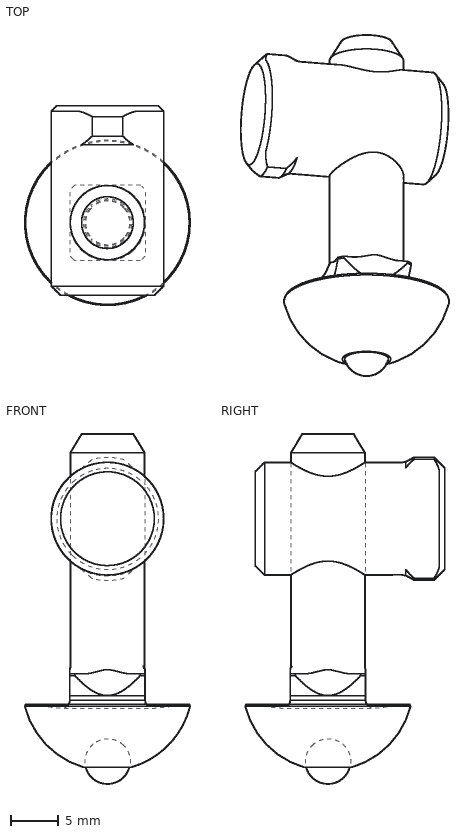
import cadquery as cq
import math

barrel_radius = 5.95
barrel_length = 20.0
barrel_back_y = 12.33
barrel_axis_z = 28.0
front_chamfer = 1.0
back_chamfer = 0.6

lug_radius = 6.5
lug_base_half_width = 3.0
lug_top_half_width = 1.62
lug_flat_end = 3.2
lug_ramp_end = 4.1
lug_length = 4.55
lug_lip = 0.07

bolt_top_z = 36.92
bolt_radius = 3.9
tip_radius = 2.75
tip_height = 1.95
collar_half_width = 4.0
collar_corner_radius = 5.28
collar_top_z = 11.63
collar_edge_height = 0.2
collar_cone_bottom_z = 9.35
collar_fillet = 0.78

foot_radius = 8.73
foot_rim_z = 8.4
rim_height = 0.22
rim_flare = 0.1
neck_top_z = 8.85
neck_fillet = 0.85
dome_radius = 9.0
foot_bottom_z = 1.77

ball_radius = 2.4

barrel_front_y = barrel_back_y - barrel_length
neck_radius = collar_half_width
dish_z = neck_top_z - neck_fillet
dome_edge_z = foot_rim_z - rim_height
dome_center_z = dome_edge_z + math.sqrt(dome_radius**2 - foot_radius**2)
foot_bottom_radius = math.sqrt(dome_radius**2 - (dome_center_z - foot_bottom_z) ** 2)
dome_mid_radius = (foot_radius + foot_bottom_radius) / 2
dome_mid_z = dome_center_z - math.sqrt(dome_radius**2 - dome_mid_radius**2)
arc_ratio = 1 - math.sqrt(0.5)


def revolve_about_z(profile):
    return profile.close().revolve(360, (0, 0, 0), (0, 1, 0))


def revolve_about_barrel_axis(profile):
    solid = profile.close().revolve(360, (0, 0, 0), (0, 1, 0))
    return solid.translate((0, 0, barrel_axis_z))


def make_lugs():
    """Two tapered lugs, cut from a ring by a wedge above and a wedge below the axis."""
    end_radius = barrel_radius - back_chamfer
    crest_start = lug_radius - end_radius
    ring = revolve_about_barrel_axis(
        cq.Workplane("XY")
        .moveTo(0, barrel_back_y)
        .lineTo(end_radius, barrel_back_y)
        .lineTo(lug_radius, barrel_back_y - crest_start)
        .lineTo(lug_radius, barrel_back_y - lug_flat_end)
        .lineTo(barrel_radius + lug_lip, barrel_back_y - lug_ramp_end)
        .lineTo(barrel_radius, barrel_back_y - lug_length)
        .lineTo(0, barrel_back_y - lug_length)
    )
    base_height = math.sqrt(barrel_radius**2 - lug_base_half_width**2)
    top_height = math.sqrt(lug_radius**2 - lug_top_half_width**2)
    lugs = []
    for side in (1, -1):
        wedge = (
            cq.Workplane("XZ", origin=(0, barrel_back_y, barrel_axis_z))
            .moveTo(0, 0)
            .lineTo(lug_base_half_width, side * base_height)
            .lineTo(lug_top_half_width, side * top_height)
            .lineTo(lug_top_half_width, side * lug_radius)
            .lineTo(-lug_top_half_width, side * lug_radius)
            .lineTo(-lug_top_half_width, side * top_height)
            .lineTo(-lug_base_half_width, side * base_height)
            .close()
            .extrude(lug_length)
        )
        lugs.append(ring.intersect(wedge))
    return lugs


def make_barrel():
    """Chamfered cross barrel with its lugs and the through hole for the bolt."""
    barrel = revolve_about_barrel_axis(
        cq.Workplane("XY")
        .moveTo(0, barrel_front_y)
        .lineTo(barrel_radius - front_chamfer, barrel_front_y)
        .lineTo(barrel_radius, barrel_front_y + front_chamfer)
        .lineTo(barrel_radius, barrel_back_y - back_chamfer)
        .lineTo(barrel_radius - back_chamfer, barrel_back_y)
        .lineTo(0, barrel_back_y)
    )
    for lug in make_lugs():
        barrel = barrel.union(lug)
    bolt_hole = cq.Workplane("XY").circle(bolt_radius).extrude(bolt_top_z)
    return barrel.cut(bolt_hole)


def make_bolt():
    """Round shank with a tapered tip and a square collar trimmed by a cone."""
    shank = revolve_about_z(
        cq.Workplane("XZ")
        .moveTo(0, neck_top_z)
        .lineTo(neck_radius, neck_top_z)
        .lineTo(neck_radius, collar_cone_bottom_z)
        .lineTo(collar_corner_radius, collar_top_z - collar_edge_height)
        .lineTo(collar_corner_radius, collar_top_z)
        .lineTo(bolt_radius + collar_fillet, collar_top_z)
        .threePointArc(
            (bolt_radius + arc_ratio * collar_fillet, collar_top_z + arc_ratio * collar_fillet),
            (bolt_radius, collar_top_z + collar_fillet),
        )
        .lineTo(bolt_radius, bolt_top_z - tip_height)
        .lineTo(tip_radius, bolt_top_z)
        .lineTo(0, bolt_top_z)
    )
    square = (
        cq.Workplane("XY", origin=(0, 0, neck_top_z))
        .rect(2 * collar_half_width, 2 * collar_half_width)
        .extrude(bolt_top_z - neck_top_z)
    )
    return shank.intersect(square)


def make_ball():
    return cq.Workplane("XY").sphere(ball_radius).translate((0, 0, ball_radius))


def make_foot():
    """Dome with a dished top, a filleted neck and a socket for the ball."""
    foot = revolve_about_z(
        cq.Workplane("XZ")
        .moveTo(0, foot_bottom_z)
        .lineTo(foot_bottom_radius, foot_bottom_z)
        .threePointArc((dome_mid_radius, dome_mid_z), (foot_radius, dome_edge_z))
        .lineTo(foot_radius - rim_flare, foot_rim_z)
        .lineTo(neck_radius + neck_fillet, dish_z)
        .threePointArc(
            (neck_radius + arc_ratio * neck_fillet, dish_z + arc_ratio * neck_fillet),
            (neck_radius, neck_top_z),
        )
        .lineTo(0, neck_top_z)
    )
    return foot.cut(make_ball())


barrel = make_barrel()
bolt = make_bolt()
foot = make_foot()
ball = make_ball()

result = cq.Compound.makeCompound([barrel.val(), bolt.val(), foot.val(), ball.val()])